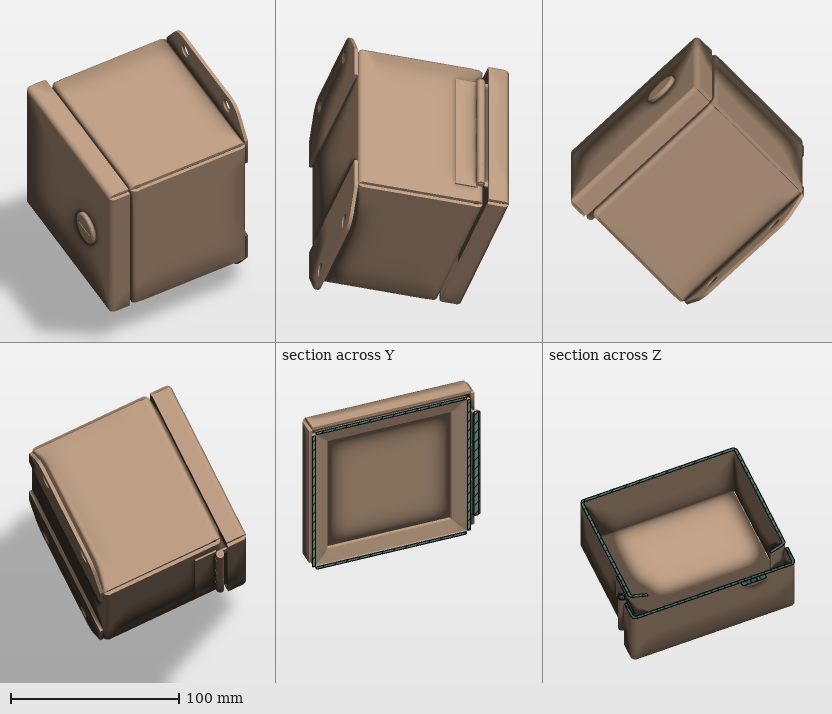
import cadquery as cq
import math


sheet = 2.1
bend_radius = 3.2
inner_bend_radius = bend_radius - sheet
corner_gap = 0.1
corner_notch = sheet + corner_gap

enclosure_size = 101.4
half_size = enclosure_size / 2
enclosure_rear = sheet
front_bend_start = 76.1
lip_angle = math.radians(16)
lip_inset = 11.2
relief_notch = 2.5
relief_start = 73.6

foot_width = 96.5
foot_height = 38.3
feet_span = 139.7
foot_slope = math.radians(56)
foot_corner_radius = 13.1
mount_hole_diameter = 8.4
mount_hole_spacing = 50.9
mount_hole_rise = 121.0

leaf_thickness = 1.1
barrel_radius = 2.4
pin_radius = barrel_radius - leaf_thickness
hinge_distance = 76.4
hinge_length = 76.8
barrel_length = 75.7
knuckle_count = 6
knuckle_length = barrel_length / knuckle_count
enclosure_leaf_start = 61.3
door_leaf_end = 90.7
enclosure_leaf_x = -half_size - leaf_thickness
door_leaf_x = enclosure_leaf_x - leaf_thickness
barrel_x = enclosure_leaf_x - barrel_radius
barrel_rear = hinge_distance - barrel_radius
barrel_front = hinge_distance + barrel_radius
knuckle_clearance = 0.3
door_leaf_start = barrel_front + knuckle_clearance

door_rear = 81.3
door_front = 94.3
door_left = door_leaf_x - sheet
door_right = half_size

lock_x = 22.6
lock_front = 97.1
lock_diameter = 20.1
lock_chamfer_depth = 0.5
lock_chamfer_width = 1.0
core_diameter = 13.0
core_slot_width = 0.5
core_slot_depth = 0.7


def block(x_range, distance_range, z_range):
    """Rectangular block; distances are measured forward from the rear of the feet."""
    size_x = x_range[1] - x_range[0]
    size_y = distance_range[1] - distance_range[0]
    size_z = z_range[1] - z_range[0]
    corner = cq.Vector(x_range[0], -distance_range[1], z_range[0])
    return cq.Workplane(obj=cq.Solid.makeBox(size_x, size_y, size_z, corner))


def centred(length):
    return (-length / 2, length / 2)


def cylinder_along_z(radius, bottom, height):
    plane = cq.Workplane("XY", origin=(barrel_x, -hinge_distance, bottom))
    return plane.circle(radius).extrude(height)


def cut_corners(body, x_range, distance_range, notch):
    """Cut a square notch along the four corners of a folded tray."""
    for x, inward_x in ((x_range[0], 1), (x_range[1], -1)):
        for z, inward_z in ((-half_size, 1), (half_size, -1)):
            notch_x = sorted((x, x + inward_x * notch))
            notch_z = sorted((z, z + inward_z * notch))
            body = body.cut(block(notch_x, distance_range, notch_z))
    return body


def folded_section(radius):
    """Wall section swept by bends of this radius: rounded rear, forward-leaning front lips."""
    centre_x = half_size - bend_radius
    rear_centre_y = -(enclosure_rear + bend_radius)
    front_centre_y = -front_bend_start
    side_x = centre_x + radius
    rear_y = rear_centre_y + radius
    bend_angle = math.pi / 2 - lip_angle

    def on_bend(angle):
        return (centre_x + radius * math.cos(angle), front_centre_y - radius * math.sin(angle))

    bend_end = on_bend(bend_angle)
    opening_x = half_size - lip_inset
    lip_end_y = bend_end[1] - (bend_end[0] - opening_x) * math.tan(lip_angle)
    diagonal = radius * math.sqrt(0.5)
    half = (
        cq.Workplane("XY")
        .moveTo(0, rear_y)
        .lineTo(centre_x, rear_y)
        .threePointArc((centre_x + diagonal, rear_centre_y + diagonal), (side_x, rear_centre_y))
        .lineTo(side_x, front_centre_y)
        .threePointArc(on_bend(bend_angle / 2), bend_end)
        .lineTo(opening_x, lip_end_y)
        .lineTo(0, lip_end_y)
    )
    return half.mirrorY().extrude(half_size, both=True)


def folded_form(radius):
    """The same section along both directions, meeting in mitred corners."""
    section = folded_section(radius)
    return section.intersect(section.rotate((0, 0, 0), (0, 1, 0), 90))


def make_enclosure():
    body = folded_form(bend_radius).cut(folded_form(inner_bend_radius))
    opening = centred(enclosure_size - 2 * lip_inset)
    body = body.cut(block(opening, (front_bend_start, door_front), opening))
    walls = (-half_size, half_size)
    body = cut_corners(body, walls, (0, door_rear), corner_notch)
    return cut_corners(body, walls, (relief_start, door_rear), relief_notch)


def make_door():
    outer = block((door_left, door_right), (door_rear, door_front), centred(enclosure_size))
    outer = outer.faces("<Y").edges().fillet(bend_radius)
    inner = block(
        (door_left + sheet, door_right - sheet),
        (door_rear, door_front - sheet),
        centred(enclosure_size - 2 * sheet),
    )
    inner = inner.faces("<Y").edges().fillet(inner_bend_radius)
    return cut_corners(outer.cut(inner), (door_left, door_right), (door_rear, door_front), corner_notch)


def make_foot(side):
    """Mounting foot above (side = 1) or below (side = -1) the enclosure."""
    tip = feet_span / 2
    half_width = foot_width / 2
    tip_half_width = half_width - (tip - half_size) / math.tan(foot_slope)
    outline = [
        (-half_width, side * (tip - foot_height)),
        (-half_width, side * half_size),
        (-tip_half_width, side * tip),
        (tip_half_width, side * tip),
        (half_width, side * half_size),
        (half_width, side * (tip - foot_height)),
    ]
    foot = cq.Workplane("XZ").polyline(outline).close().extrude(sheet)
    foot = foot.faces(">Z" if side > 0 else "<Z").edges("|Y").fillet(foot_corner_radius)
    holes = (
        cq.Workplane("XZ")
        .pushPoints([(x, side * mount_hole_rise / 2) for x in centred(mount_hole_spacing)])
        .circle(mount_hole_diameter / 2)
        .extrude(sheet)
    )
    return foot.cut(holes)


def add_knuckles(plate, first, arm_x_range, arm_distance_range):
    """Add every second knuckle, counted from the top, and bore them all for the pin."""
    leaf = plate
    for index in range(first, knuckle_count, 2):
        bottom = barrel_length / 2 - (index + 1) * knuckle_length
        arm = block(arm_x_range, arm_distance_range, (bottom, bottom + knuckle_length))
        leaf = leaf.union(arm).union(cylinder_along_z(barrel_radius, bottom, knuckle_length))
    return leaf.cut(make_pin())


def make_pin():
    return cylinder_along_z(pin_radius, -hinge_length / 2, hinge_length)


def make_enclosure_leaf():
    plate_end = barrel_rear + leaf_thickness
    plate = block((enclosure_leaf_x, -half_size), (enclosure_leaf_start, plate_end), centred(hinge_length))
    return add_knuckles(plate, 1, (barrel_x, -half_size), (barrel_rear, plate_end))


def make_door_leaf():
    leaf_x_range = (door_leaf_x, enclosure_leaf_x)
    plate = block(leaf_x_range, (door_leaf_start, door_leaf_end), centred(barrel_length))
    return add_knuckles(plate, 0, leaf_x_range, (hinge_distance, door_leaf_start))


def lock_cylinder(diameter):
    """Round bar standing on the door face, up to the front of the lock."""
    plane = cq.Workplane("XZ", origin=(lock_x, -door_front, 0))
    return plane.circle(diameter / 2).extrude(lock_front - door_front)


def make_lock_housing():
    head = lock_cylinder(lock_diameter).faces("<Y").edges().chamfer(lock_chamfer_depth, lock_chamfer_width)
    return head.cut(lock_cylinder(core_diameter))


def make_lock_core():
    slot_x_range = (lock_x - core_diameter / 2, lock_x + core_diameter / 2)
    slot = block(slot_x_range, (lock_front - core_slot_depth, lock_front), centred(core_slot_width))
    return lock_cylinder(core_diameter).cut(slot)


enclosure = make_enclosure()
door = make_door()
feet = [make_foot(side) for side in (1, -1)]
enclosure_leaf = make_enclosure_leaf()
door_leaf = make_door_leaf()
hinge_pin = make_pin()
lock_housing = make_lock_housing()
lock_core = make_lock_core()

result = cq.Compound.makeCompound([
    enclosure.val(),
    door.val(),
    *[foot.val() for foot in feet],
    enclosure_leaf.val(),
    door_leaf.val(),
    hinge_pin.val(),
    lock_housing.val(),
    lock_core.val(),
])